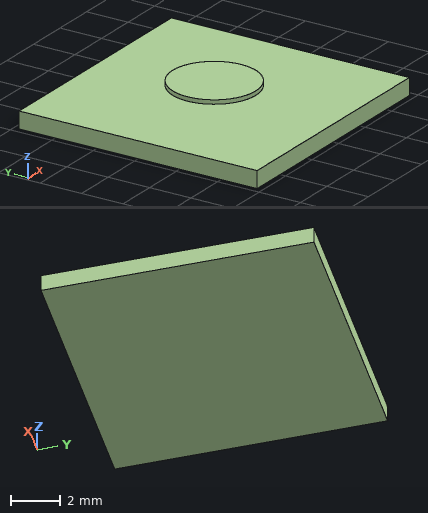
import cadquery as cq

plate_side = 11.5
plate_thickness = 0.8
disc_diameter = 4.0
disc_thickness = 0.2
overall_height = 1.4

disc_bottom = overall_height - disc_thickness


def make_plate():
    """Square plate, centred on the Z axis and resting on Z = 0."""
    return cq.Workplane("XY").box(
        plate_side, plate_side, plate_thickness, centered=(True, True, False)
    )


def make_disc():
    """Thin round disc on the plate's axis, separated from the plate by a gap."""
    return (
        cq.Workplane("XY")
        .workplane(offset=disc_bottom)
        .circle(disc_diameter / 2)
        .extrude(disc_thickness)
    )


plate = make_plate()
disc = make_disc()

result = cq.Compound.makeCompound([plate.val(), disc.val()])